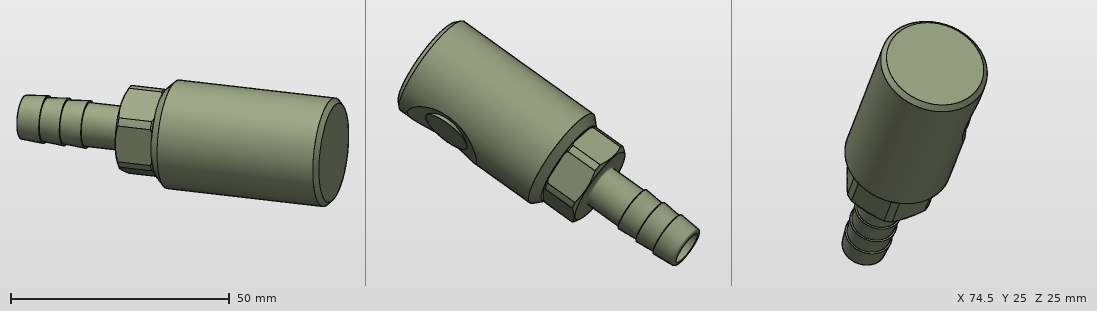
import cadquery as cq
import math

barb_ends = (5.5, 10.4, 15.6)
hex_start = 25.0
hex_end = 34.0
total_length = 74.5

tail_radius = 5.1
barb_radius = 5.5
bore_radius = 4.0
tip_round = 0.45
root_round = 0.4

across_flats = 19.1
hex_corner_radius = 10.5
hex_bevel_radius = 9.4
front_bevel_length = 0.7
back_bevel_radius = 10.1
back_bevel_length = 0.45

body_radius = 12.5
shoulder_length = 2.1
end_chamfer = 1.1

button_x = 60.95
button_radius = 5.95
button_top = 10.9
scallop_depth = 2.5
scallop_half_width = 10.0


def turned(profile):
    """Revolve a closed (x, radius) outline about the X axis."""
    return cq.Workplane("XY").polyline(profile).close().revolve(360, (0, 0, 0), (1, 0, 0))


def make_tail():
    tail = cq.Workplane("YZ").circle(tail_radius).extrude(hex_start)
    start = 0.0
    for end in barb_ends:
        tail = tail.union(turned([(start, 0), (start, tail_radius), (end, barb_radius), (end, 0)]))
        start = end
    return tail.faces("<X").edges().fillet(tip_round)


def make_hexagon():
    corner_distance = across_flats / math.cos(math.pi / 6)
    prism = (
        cq.Workplane("YZ", origin=(hex_start, 0, 0))
        .transformed(rotate=(0, 0, 90))
        .polygon(6, corner_distance)
        .extrude(hex_end - hex_start)
    )
    envelope = turned([
        (hex_start, 0),
        (hex_start, hex_bevel_radius),
        (hex_start + front_bevel_length, hex_corner_radius),
        (hex_end - back_bevel_length, hex_corner_radius),
        (hex_end, back_bevel_radius),
        (hex_end, 0),
    ])
    return prism.intersect(envelope)


def make_body():
    return turned([
        (hex_end, 0),
        (hex_end, hex_corner_radius),
        (hex_end + shoulder_length, body_radius),
        (total_length - end_chamfer, body_radius),
        (total_length, body_radius - end_chamfer),
        (total_length, 0),
    ])


def make_scallop():
    radius = (scallop_half_width**2 + scallop_depth**2) / (2 * scallop_depth)
    center_y = body_radius - scallop_depth + radius
    return cq.Workplane("XY").center(button_x, center_y).circle(radius).extrude(body_radius, both=True)


def make_button():
    return (
        cq.Workplane("XZ", origin=(button_x, 0, 0))
        .circle(button_radius)
        .extrude(-button_top)
    )


def round_tail_root(part):
    root = cq.selectors.BoxSelector(
        (hex_start - root_round, -barb_radius, -barb_radius),
        (hex_start + root_round, barb_radius, barb_radius),
        boundingbox=True,
    )
    return part.edges(root).fillet(root_round)


tail_and_hexagon = round_tail_root(make_tail().union(make_hexagon()))
body = make_body().cut(make_scallop())
button = make_button().intersect(make_body())
bore = cq.Workplane("YZ").circle(bore_radius).extrude(hex_end)

result = tail_and_hexagon.union(body).union(button).cut(bore)